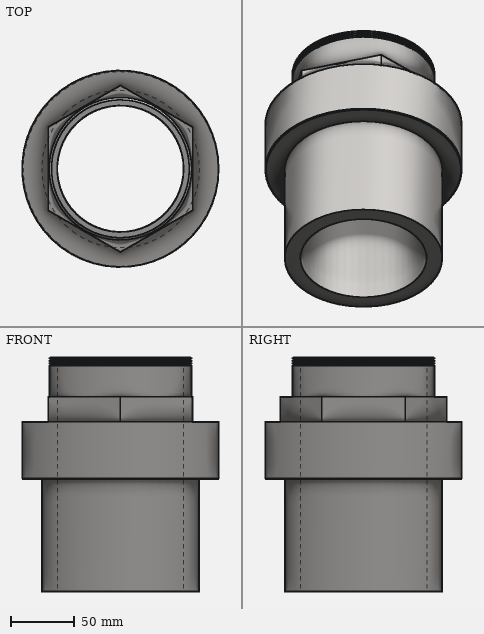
import cadquery as cq
import math

total_height = 186.0
bore_diameter = 100.0

socket_diameter = 125.0
collar_diameter = 156.0
collar_bottom = 89.0
collar_top = 134.5
collar_chamfer = 0.7
hex_across_flats = 114.5
hex_top = 154.4

thread_diameter = 113.0
thread_depth = 1.9
thread_pitch = 1.99
ridge_count = 4


def cylinder(diameter, bottom, top):
    return cq.Workplane("XY").workplane(offset=bottom).circle(diameter / 2).extrude(top - bottom)


def make_collar():
    collar = cylinder(collar_diameter, collar_bottom, collar_top)
    return collar.faces("<Z").edges().chamfer(collar_chamfer)


def make_hexagon():
    across_corners = hex_across_flats / math.cos(math.pi / 6)
    return (
        cq.Workplane("XY")
        .workplane(offset=collar_top)
        .transformed(rotate=(0, 0, 30))
        .polygon(6, across_corners)
        .extrude(hex_top - collar_top)
    )


def make_threaded_end():
    crest_radius = thread_diameter / 2
    root_radius = crest_radius - thread_depth
    outline = [(0, hex_top), (0, total_height)]
    for ridge in range(ridge_count):
        root_height = total_height - ridge * thread_pitch
        outline.append((root_radius, root_height))
        outline.append((crest_radius, root_height - thread_pitch / 2))
    outline.append((crest_radius, hex_top))
    return cq.Workplane("XZ").polyline(outline).close().revolve(360, (0, 0, 0), (0, 1, 0))


socket = cylinder(socket_diameter, 0, collar_bottom)
body = socket.union(make_collar()).union(make_hexagon()).union(make_threaded_end())
result = body.cut(cylinder(bore_diameter, 0, total_height))